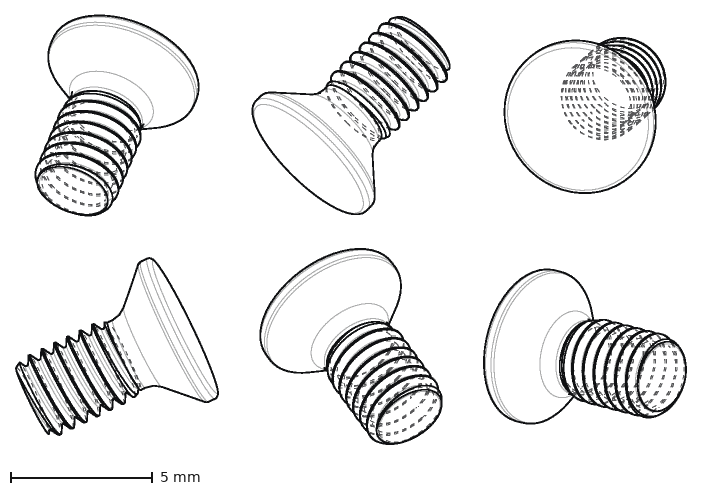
import cadquery as cq
import math

LENGTH = 6

HEAD_RADIUS = 5.5 / 2
RIM_TOP_FILLET = 0.15
RIM_LOWER_FILLET = 0.145
CONE_TOP = 5.54

NECK_RADIUS = 1.33
NECK_FILLET = 0.775

THREAD_LENGTH = 3.61
THREAD_RADIUS = 1.5
PITCH = 1.5 / 3
CREST_WIDTH = PITCH / 8
ROOT_ROUND = 0.07
GROOVE_HEIGHT = 0.5
GROOVE_START_ANGLE = 90
ROD_OVERHANG = 3 * PITCH
GROOVE_OVERCUT = 0.025
FLANK_ANGLE = math.radians(30)

TIP_RADIUS = 1.31
TIP_TAPER_LENGTH = (THREAD_RADIUS - TIP_RADIUS) / math.tan(FLANK_ANGLE)
RUNOUT_RADIUS = 1.34
RUNOUT_LENGTH = 0.42

HOLLOW_RADIUS = 1.24
HOLLOW_DEPTH = 0.06


def make_head():
    """Revolve the neck, cone and rim, then round their edges."""
    cone_bottom = CONE_TOP - (HEAD_RADIUS - NECK_RADIUS)
    body = (
        cq.Workplane("XZ")
        .moveTo(0, THREAD_LENGTH)
        .lineTo(NECK_RADIUS, THREAD_LENGTH)
        .lineTo(NECK_RADIUS, cone_bottom)
        .lineTo(HEAD_RADIUS, CONE_TOP)
        .lineTo(HEAD_RADIUS, LENGTH)
        .lineTo(0, LENGTH)
        .close()
        .revolve(360, (0, 0, 0), (0, 1, 0))
    )

    def round_edge(solid, height, radius):
        margin = 0.005
        low = (-LENGTH, -LENGTH, height - margin)
        high = (LENGTH, LENGTH, height + margin)
        return solid.edges("%CIRCLE").edges(cq.selectors.BoxSelector(low, high)).fillet(radius)

    body = round_edge(body, cone_bottom, NECK_FILLET)
    body = round_edge(body, CONE_TOP, RIM_LOWER_FILLET)
    return round_edge(body, LENGTH, RIM_TOP_FILLET)


def make_shank_blank():
    """Revolve the thread blank, with tapered ends and a hollow tip."""
    return (
        cq.Workplane("XZ")
        .moveTo(0, HOLLOW_DEPTH)
        .lineTo(HOLLOW_RADIUS, 0)
        .lineTo(TIP_RADIUS, 0)
        .lineTo(THREAD_RADIUS, TIP_TAPER_LENGTH)
        .lineTo(THREAD_RADIUS, THREAD_LENGTH - RUNOUT_LENGTH)
        .lineTo(RUNOUT_RADIUS, THREAD_LENGTH)
        .lineTo(0, THREAD_LENGTH)
        .close()
        .revolve(360, (0, 0, 0), (0, 1, 0))
    )


def make_groove():
    """Sweep the round-bottomed V of the thread along a right-hand helix."""
    start = GROOVE_HEIGHT - 2 * PITCH
    turns = math.ceil((THREAD_LENGTH - start) / PITCH) + 1
    helix = cq.Wire.makeHelix(PITCH, turns * PITCH, THREAD_RADIUS, cq.Vector(0, 0, start))

    outer_radius = THREAD_RADIUS + GROOVE_OVERCUT
    outer_half = (PITCH - CREST_WIDTH) / 2 + GROOVE_OVERCUT * math.tan(FLANK_ANGLE)
    sharp_radius = outer_radius - outer_half / math.tan(FLANK_ANGLE)
    round_centre = sharp_radius + ROOT_ROUND / math.sin(FLANK_ANGLE)
    tangent_radius = round_centre - ROOT_ROUND * math.sin(FLANK_ANGLE)
    tangent_half = ROOT_ROUND * math.cos(FLANK_ANGLE)
    root_radius = round_centre - ROOT_ROUND

    profile = (
        cq.Workplane("XZ", origin=(0, 0, start))
        .moveTo(outer_radius, -outer_half)
        .lineTo(tangent_radius, -tangent_half)
        .threePointArc((root_radius, 0), (tangent_radius, tangent_half))
        .lineTo(outer_radius, outer_half)
        .close()
    )
    groove = profile.sweep(cq.Workplane(obj=helix), isFrenet=True)
    return groove.rotate((0, 0, 0), (0, 0, 1), GROOVE_START_ANGLE)


def make_threaded_shank():
    """Cut the thread on a straight rod, then trim the rod to the blank."""
    rod_length = THREAD_LENGTH + 2 * ROD_OVERHANG
    rod = cq.Workplane(origin=(0, 0, -ROD_OVERHANG)).circle(THREAD_RADIUS).extrude(rod_length)
    return rod.cut(make_groove()).intersect(make_shank_blank())


screw = make_threaded_shank().union(make_head())
result = screw.rotate((0, 0, 0), (1, 0, 0), -90)